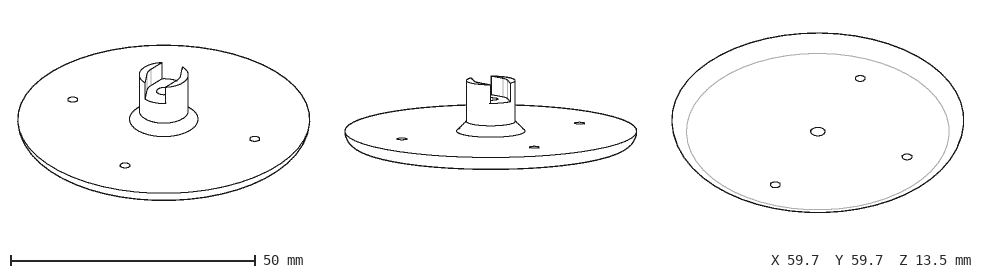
import cadquery as cq
import math

disc_diameter = 59.67
disc_thickness = 3.0
rim_radius = 3.0

stem_diameter = 10.0
foot_diameter = 14.0
foot_height = (foot_diameter - stem_diameter) / 2
total_height = 13.5

slot_core_diameter = 6.9
slot_taper_angle = 17.0
slot_depth = 3.85

bore_diameter = 2.9
pin_hole_diameter = 2.0
pin_circle_radius = 20.2
pin_hole_angles = (0, 180, 270)


def make_body():
    """Disc, foot and stem turned as one profile about the Z axis."""
    disc_radius = disc_diameter / 2
    foot_radius = foot_diameter / 2
    stem_radius = stem_diameter / 2
    foot_top = disc_thickness + foot_height
    flat_radius = disc_radius - rim_radius
    diagonal = rim_radius * math.sqrt(0.5)
    rim_middle = (flat_radius + diagonal, rim_radius - diagonal)
    profile = (
        cq.Workplane("XZ")
        .lineTo(flat_radius, 0)
        .threePointArc(rim_middle, (disc_radius, disc_thickness))
        .lineTo(foot_radius, disc_thickness)
        .lineTo(stem_radius, foot_top)
        .lineTo(stem_radius, total_height)
        .lineTo(0, total_height)
        .close()
    )
    return profile.revolve(360, (0, 0, 0), (0, 1, 0))


def make_slot():
    """Cutter with a round middle whose walls run on tangentially to both ends."""
    core_radius = slot_core_diameter / 2
    taper = math.radians(slot_taper_angle)
    tangent_x = core_radius * math.cos(taper)
    tangent_y = core_radius * math.sin(taper)
    end_y = stem_diameter / 2
    end_x = tangent_x - (end_y - tangent_y) * math.tan(taper)
    return (
        cq.Workplane("XY", origin=(0, 0, total_height - slot_depth))
        .moveTo(end_x, -end_y)
        .lineTo(tangent_x, -tangent_y)
        .threePointArc((core_radius, 0), (tangent_x, tangent_y))
        .lineTo(end_x, end_y)
        .lineTo(-end_x, end_y)
        .lineTo(-tangent_x, tangent_y)
        .threePointArc((-core_radius, 0), (-tangent_x, -tangent_y))
        .lineTo(-end_x, -end_y)
        .close()
        .extrude(slot_depth)
    )


def make_holes():
    """Cutters for the central bore and the pin holes around it."""
    holes = cq.Workplane("XY").circle(bore_diameter / 2).extrude(total_height)
    for angle in pin_hole_angles:
        x = pin_circle_radius * math.cos(math.radians(angle))
        y = pin_circle_radius * math.sin(math.radians(angle))
        pin_hole = cq.Workplane("XY").center(x, y).circle(pin_hole_diameter / 2)
        holes = holes.union(pin_hole.extrude(disc_thickness))
    return holes


result = make_body().cut(make_slot()).cut(make_holes())